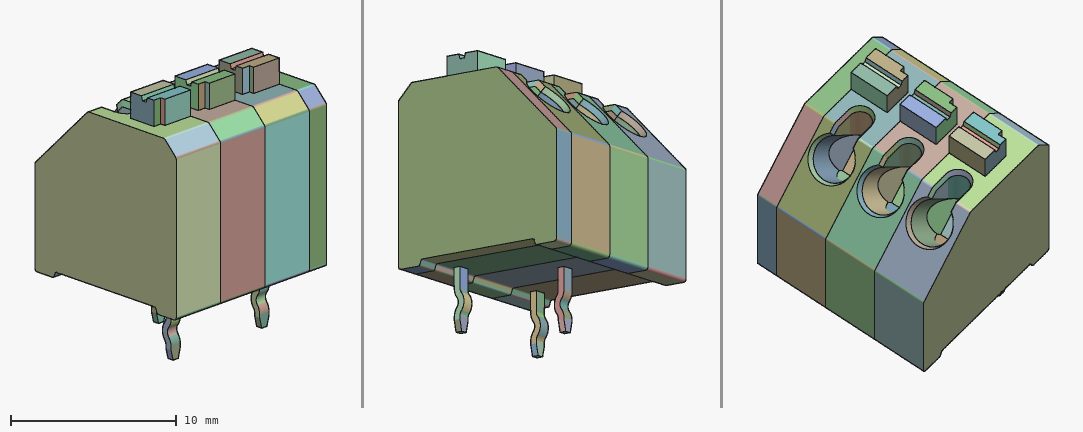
import cadquery as cq
import math


pole_count = 3
pole_pitch = 3.81
end_plate_thickness = 1.5
feature_y = 2.05

housing_length = 12.0
housing_height = 11.5
slope_run = 4.5
rear_chamfer = 1.0
edge_radius = 0.2
foot_length = 1.6
foot_height = 0.4
foot_flank_run = 0.15
foot_radius = 0.13

entry_tilt = 45
entry_x = 3.09
entry_z = housing_height - slope_run + entry_x
entry_radius = 1.45
entry_depth = 3.75
lower_ramp_start = 2.54
lower_ramp_angle = 11.5
side_ramp_start = 2.35
side_ramp_angle = 31
mouth_flare = 0.15
mouth_depth = 0.4

slot_radius = 0.75
slot_end_x = 5.8

button_x = 7.12
button_length = 2.34
button_width = 2.8
button_height = 1.7
button_notch_length = 0.35
button_notch_width = 0.59
groove_x = 8.05
groove_top_width = 0.5
groove_floor_width = 0.3
groove_depth = 0.3

front_pin_x = 4.5
rear_pin_x = 9.5
pin_thickness = 0.44
pin_width = 0.8
pin_tip_width = 0.45
pin_tip_height = 0.7
pin_length = 3.6
kink_offset = 0.3
kink_inner_radius = 0.5
front_kink_z = -1.9
rear_kink_z = -1.8


def make_slab(thickness):
    """Housing outline extruded from Y = 0 towards +Y, with each corner rounded to its own radius."""
    recess_start = foot_length + foot_flank_run
    corners = [
        (0, 0, edge_radius),
        (foot_length, 0, foot_radius),
        (recess_start, foot_height, foot_radius),
        (housing_length - recess_start, foot_height, foot_radius),
        (housing_length - foot_length, 0, foot_radius),
        (housing_length, 0, edge_radius),
        (housing_length, housing_height - rear_chamfer, edge_radius),
        (housing_length - rear_chamfer, housing_height, edge_radius),
        (slope_run, housing_height, edge_radius),
        (0, housing_height - slope_run, edge_radius),
    ]
    slab = cq.Workplane("XZ").polyline([(x, z) for x, z, _ in corners]).close().extrude(-thickness)
    for x, z, radius in corners:
        corner_edge = cq.selectors.NearestToPointSelector((x, thickness / 2, z))
        slab = slab.edges("|Y").edges(corner_edge).fillet(radius)
    return slab


def tilt_into_slope(shape):
    """Move a shape from the hole frame (X = depth, Z = up the slope) to its place in a pole."""
    return shape.rotate((0, 0, 0), (0, 1, 0), entry_tilt).translate((entry_x, feature_y, entry_z))


def make_ramp(plane, wall, start, angle):
    """Wedge filling the deep end of the hole at one wall, as wide as the hole; wall is -1 or +1."""
    rise = (entry_depth - start) * math.tan(math.radians(angle))
    return (
        cq.Workplane(plane)
        .moveTo(start, wall * entry_radius)
        .lineTo(entry_depth, wall * entry_radius)
        .lineTo(entry_depth, wall * (entry_radius - rise))
        .close()
        .extrude(entry_radius, both=True)
    )


def make_wire_hole():
    """Flared round hole whose lower and +Y walls turn into flat ramps that funnel the wire inward."""
    bore = cq.Workplane("YZ").circle(entry_radius).extrude(entry_depth)
    lower_ramp = make_ramp("XZ", -1, lower_ramp_start, lower_ramp_angle)
    side_ramp = make_ramp("XY", 1, side_ramp_start, side_ramp_angle)
    mouth = cq.Workplane(cq.Solid.makeCone(
        entry_radius + mouth_flare, entry_radius, mouth_depth, cq.Vector(0, 0, 0), cq.Vector(1, 0, 0)
    ))
    return tilt_into_slope(bore.cut(lower_ramp).cut(side_ramp).union(mouth))


def slot_outline(z, radius):
    """Plan of the slot at height z: open at the hole, round at its far end."""
    return (
        cq.Workplane("XY", origin=(0, feature_y, z))
        .moveTo(entry_x, -radius)
        .lineTo(slot_end_x, -radius)
        .threePointArc((slot_end_x + radius, 0), (slot_end_x, radius))
        .lineTo(entry_x, radius)
        .close()
    )


def make_slot():
    """Vertical slot from the top face into the hole, ending on the hole floor and side ramp, edges flared."""
    shaft = slot_outline(0, slot_radius).extrude(housing_height)
    reach = tilt_into_slope(
        cq.Workplane("XY").box(entry_depth, 2 * slot_radius, housing_height, centered=(False, True, False))
    )
    side_ramp = tilt_into_slope(make_ramp("XY", 1, side_ramp_start, side_ramp_angle))
    flare_angle = math.degrees(math.atan(mouth_flare / mouth_depth))
    mouth_radius = slot_radius + mouth_flare
    top_mouth = slot_outline(housing_height, mouth_radius).extrude(-mouth_depth, taper=flare_angle)
    slope_mouth_length = (slope_run - entry_x) / math.cos(math.radians(entry_tilt)) + mouth_depth
    slope_mouth = tilt_into_slope(
        cq.Workplane("YZ")
        .polyline([
            (-mouth_radius, 0),
            (mouth_radius, 0),
            (mouth_radius, slope_mouth_length),
            (-mouth_radius, slope_mouth_length),
        ])
        .close()
        .extrude(mouth_depth, taper=flare_angle)
    )
    return shaft.intersect(reach).cut(side_ramp).union(top_mouth).union(slope_mouth)


def make_button():
    """Release button with a stepped rear corner and a screwdriver groove across its top."""
    button_y = pole_pitch - button_width
    button_top = housing_height + button_height
    button = cq.Workplane("XY").box(button_length, button_width, button_height, centered=False)
    button = button.translate((button_x, button_y, housing_height))
    notch = cq.Workplane("XY").box(button_notch_length, button_notch_width, button_height, centered=False)
    notch = notch.translate((button_x + button_length - button_notch_length, button_y, housing_height))
    groove_inset = (groove_top_width - groove_floor_width) / 2
    groove = (
        cq.Workplane("XZ")
        .moveTo(groove_x, button_top)
        .lineTo(groove_x + groove_inset, button_top - groove_depth)
        .lineTo(groove_x + groove_inset + groove_floor_width, button_top - groove_depth)
        .lineTo(groove_x + groove_top_width, button_top)
        .close()
        .extrude(-pole_pitch)
    )
    return button.cut(notch).cut(groove)


def make_pin(pin_x, kink_z, kink_side):
    """Flat pin with a three-arc kink towards kink_side (+1 or -1 along X) and a tapered tip."""
    inner = kink_inner_radius
    outer = kink_inner_radius + pin_thickness
    swing = math.acos(1 - kink_offset / (inner + outer))
    half_kink = (inner + outer) * math.sin(swing)

    def arc_offset(angle, radius):
        """Sideways and lengthwise travel along an arc that starts out vertical."""
        return radius * (1 - math.cos(angle)), radius * math.sin(angle)

    def kinked_edge(wire, x, end_radius, direction):
        """Three tangent arcs along one face of the pin; direction +1 runs up, -1 down."""
        end_mid_x, end_mid_z = arc_offset(swing / 2, end_radius)
        end_x, end_z = arc_offset(swing, end_radius)
        start_z = kink_z - direction * half_kink
        stop_z = kink_z + direction * half_kink
        return (
            wire.lineTo(x, start_z)
            .threePointArc(
                (x + kink_side * end_mid_x, start_z + direction * end_mid_z),
                (x + kink_side * end_x, start_z + direction * end_z),
            )
            .threePointArc(
                (x + kink_side * kink_offset, kink_z),
                (x + kink_side * end_x, stop_z - direction * end_z),
            )
            .threePointArc(
                (x + kink_side * end_mid_x, stop_z - direction * end_mid_z),
                (x, stop_z),
            )
        )

    inside_x = pin_x if kink_side > 0 else pin_x + pin_thickness
    outside_x = pin_x + pin_thickness if kink_side > 0 else pin_x
    side = cq.Workplane("XZ", origin=(0, feature_y, 0)).moveTo(inside_x, -pin_length)
    side = kinked_edge(side, inside_x, outer, 1)
    side = side.lineTo(inside_x, foot_height).lineTo(outside_x, foot_height)
    side = kinked_edge(side, outside_x, inner, -1)
    side = side.lineTo(outside_x, -pin_length).close()
    strip = side.extrude(pin_width / 2, both=True)

    tip_shoulder_z = pin_tip_height - pin_length
    face = (
        cq.Workplane("YZ", origin=(0, feature_y, 0))
        .polyline([
            (-pin_tip_width / 2, -pin_length),
            (pin_tip_width / 2, -pin_length),
            (pin_width / 2, tip_shoulder_z),
            (pin_width / 2, foot_height),
            (-pin_width / 2, foot_height),
            (-pin_width / 2, tip_shoulder_z),
        ])
        .close()
        .extrude(housing_length)
    )
    return strip.intersect(face)


def make_pole(index):
    """One terminal pole; pins alternate between the rear and the front row."""
    if index % 2 == 0:
        pin = make_pin(rear_pin_x, rear_kink_z, -1)
    else:
        pin = make_pin(front_pin_x, front_kink_z, 1)
    pole = make_slab(pole_pitch).cut(make_wire_hole()).cut(make_slot())
    pole = pole.union(make_button()).union(pin)
    return pole.translate((0, index * pole_pitch, 0))


poles = [make_pole(index) for index in range(pole_count)]
end_plate = make_slab(end_plate_thickness).translate((0, pole_count * pole_pitch, 0))

result = cq.Compound.makeCompound([*[pole.val() for pole in poles], end_plate.val()])